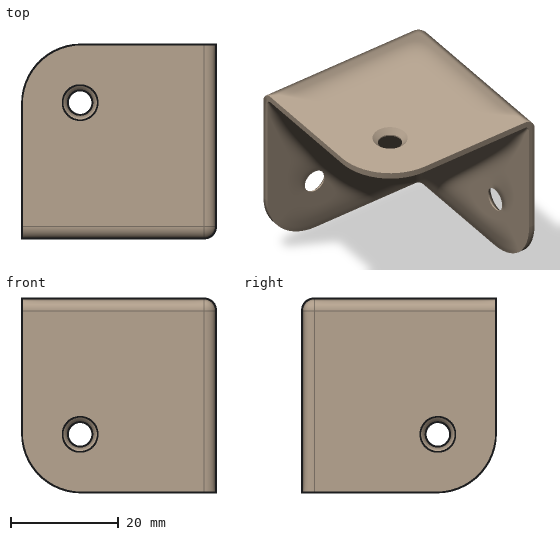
import cadquery as cq

size = 36.0
thickness = 1.25
inner_bend_radius = 1.0
outer_bend_radius = inner_bend_radius + thickness
corner_radius = 11.0
hole_inset = 10.8
hole_diameter = 4.5
countersink_diameter = 6.5
countersink_angle = 90.0

near = hole_inset
far = size - hole_inset


def rounded_block(origin, radius):
    """Cube from origin, with its three edges meeting at the (+X, -Y, +Z) corner rounded."""
    block = cq.Workplane("XY").box(size, size, size, centered=False).translate(origin)
    meeting_edges = "(|Z and >X and <Y) or (|Y and >X and >Z) or (|X and <Y and >Z)"
    return block.edges(meeting_edges).fillet(radius)


outer = rounded_block((0, 0, 0), outer_bend_radius)
inner = rounded_block((-thickness, thickness, -thickness), inner_bend_radius)
shell = outer.cut(inner)

shell = shell.edges("|Y and <X and <Z").fillet(corner_radius)
shell = shell.edges("|Z and <X and >Y").fillet(corner_radius)
shell = shell.edges("|X and >Y and <Z").fillet(corner_radius)


def countersunk_hole(body, center, normal, x_direction):
    """Drill one wall from its outer face."""
    face = cq.Plane(origin=center, xDir=x_direction, normal=normal)
    return body.copyWorkplane(cq.Workplane(face)).cskHole(
        hole_diameter, countersink_diameter, countersink_angle, depth=2 * thickness
    )


result = countersunk_hole(shell, (near, 0, near), (0, -1, 0), (1, 0, 0))
result = countersunk_hole(result, (near, far, size), (0, 0, 1), (1, 0, 0))
result = countersunk_hole(result, (size, far, near), (1, 0, 0), (0, 1, 0))